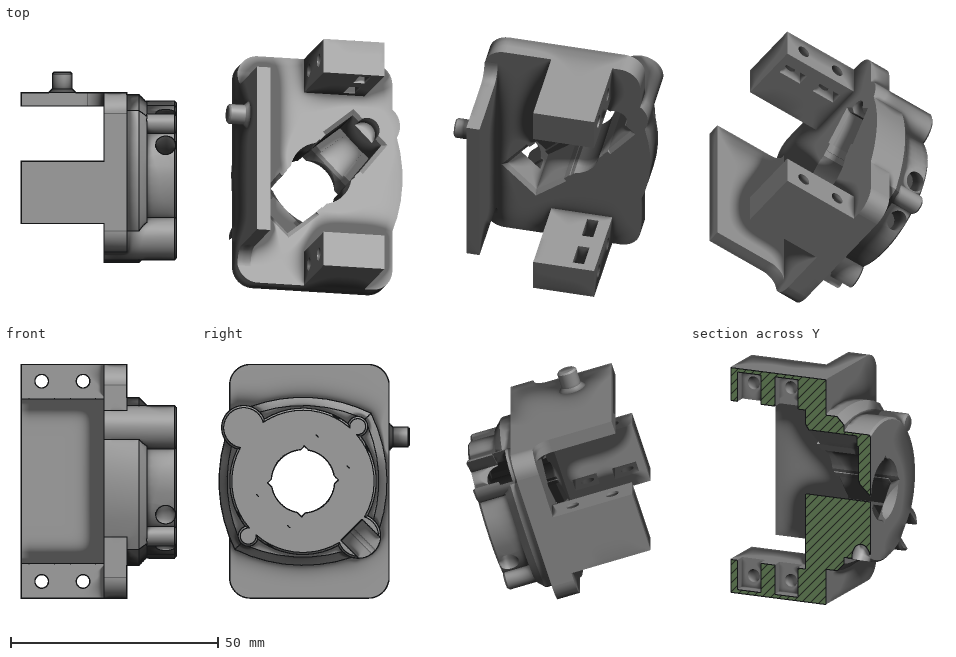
import cadquery as cq
import math

TOTAL_DEPTH = 37.5
HEIGHT = 56.5

PLATE_FRONT = 20.0
PLATE_BACK = 25.55
PLATE_Y_MIN = -17.75
PLATE_Y_MAX = 20.8
CORNER_RADIUS = 5.05

WING_THICKNESS = 3.3
WING_HALF_HEIGHT = 20.3
WING_FILLET = 3.95
PEG_X = 9.95
PEG_Z = 10.75
PEG_DIAMETER = 4.8
PEG_TIP_Y = 25.7
PEG_BASE_DIAMETER = 6.6
PEG_BASE_HEIGHT = 0.9
PEG_CHAMFER = 0.4

LUG_Y_MIN = -10.85
LUG_Y_MAX = 4.25
LUG_HEIGHT = 8.35
SCREW_DIAMETER = 3.2
SCREW_XS = (5.0, 15.0)
SCREW_Z = 24.2
NUT_WIDTH = 6.1
NUT_THICKNESS = 2.8
NUT_Y = -6.5
NUT_DEPTH = 7.35

FLANGE_HALF_WIDTH = 20.3
FLANGE_CORNER = 16.45
FLANGE_BACK = 28.5
FLANGE_CHAMFER = 2.0

HUB_RADIUS = 17.7
REAR_CHAMFER = 0.5
BOSS_RADIUS = 5.35
UPPER_BOSS_YZ = (-14.3, 12.95)
LOWER_BOSS_YZ = (13.4, -13.2)
POST_RADIUS = 2.45
POST_OFFSET = 13.2
CORD_DIAMETER = 4.8
CORD_X = 34.9
CORD_U = 5.3
CORD_END_V = 10.15

BORE_RADIUS = 7.6
FLOOR_X = 34.6
RIM_DEPTH = 0.9
RIM_END = 17.4
RIM_END_HALF_WIDTH = 6.0
RIM_WAIST_HALF_WIDTH = 7.0
WINDOW_WAIST = 7.7
WINDOW_END = 16.5
WINDOW_END_HALF_WIDTH = 5.05
WINDOW_WAIST_HALF_WIDTH = 6.05
LEDGE_X = 33.8
LEDGE_END = 8.9
RELIEF_DEPTH = 4.5
CHANNEL_HALF_WIDTH = 3.95
UPPER_CHANNEL_DEPTH = 0.3
SLOT_END_HALF_LENGTH = 5.75
SLOT_HALF_WIDTH = 6.25

CABLE_RADIUS = 3.35
CABLE_X = 30.85
CABLE_SLOT_X = 27.6
CABLE_SLOT_WIDTH = 8.5
CABLE_REACH = 28.25
CABLE_OPEN_U = 16.65
CABLE_TROUGH_WIDTH = 7.25
RELIEF_RADIUS = 2.95
RELIEF_U = 16.45

DIAGONAL = (0, -1, 1)


def across(x):
    """Work plane at depth x: local axes are Y and Z."""
    return cq.Workplane("YZ", origin=(x, 0, 0))


def diagonal(x):
    """Work plane at depth x: local X runs along the window, toward -Y and +Z."""
    return cq.Workplane(cq.Plane(origin=(x, 0, 0), xDir=DIAGONAL, normal=(1, 0, 0)))


def block(x_range, y_range, z_range):
    size = [high - low for low, high in (x_range, y_range, z_range)]
    corner = (x_range[0], y_range[0], z_range[0])
    return cq.Workplane("XY").box(*size, centered=False).translate(corner)


def rear_cylinder(start_x, center, radius):
    """Cylinder along X that ends in the chamfered rear face."""
    cylinder = across(start_x).center(*center).circle(radius).extrude(TOTAL_DEPTH - start_x)
    return cylinder.faces(">X").chamfer(REAR_CHAMFER)


def plate():
    body = block((PLATE_FRONT, PLATE_BACK), (PLATE_Y_MIN, PLATE_Y_MAX), (-HEIGHT / 2, HEIGHT / 2))
    return body.edges("|X").fillet(CORNER_RADIUS)


def wing():
    root = WING_HALF_HEIGHT + WING_FILLET
    bend = WING_FILLET * (1 - math.sqrt(0.5))
    arc_start = PLATE_FRONT - WING_FILLET
    outline = (
        cq.Workplane("XZ", origin=(0, PLATE_Y_MAX, 0))
        .moveTo(0, -WING_HALF_HEIGHT)
        .lineTo(arc_start, -WING_HALF_HEIGHT)
        .threePointArc((PLATE_FRONT - bend, -WING_HALF_HEIGHT - bend), (PLATE_FRONT, -root))
        .lineTo(PLATE_FRONT, root)
        .threePointArc((PLATE_FRONT - bend, WING_HALF_HEIGHT + bend), (arc_start, WING_HALF_HEIGHT))
        .lineTo(0, WING_HALF_HEIGHT)
        .close()
    )
    return outline.extrude(WING_THICKNESS)


def peg():
    tip_radius = PEG_DIAMETER / 2 - PEG_CHAMFER
    profile = [
        (0, PLATE_Y_MAX),
        (PEG_BASE_DIAMETER / 2, PLATE_Y_MAX),
        (PEG_DIAMETER / 2, PLATE_Y_MAX + PEG_BASE_HEIGHT),
        (PEG_DIAMETER / 2, PEG_TIP_Y - PEG_CHAMFER),
        (tip_radius, PEG_TIP_Y),
        (0, PEG_TIP_Y),
    ]
    turned = cq.Workplane("XY").polyline(profile).close().revolve(360, (0, 0), (0, 1))
    return turned.translate((PEG_X, 0, PEG_Z))


def lower_lug():
    inner_z = -HEIGHT / 2 + LUG_HEIGHT
    lug = block((0, PLATE_BACK), (LUG_Y_MIN, LUG_Y_MAX), (-HEIGHT / 2, inner_z))
    for x in SCREW_XS:
        screw = cq.Workplane("XZ", origin=(x, LUG_Y_MAX, -SCREW_Z)).circle(SCREW_DIAMETER / 2)
        lug = lug.cut(screw.extrude(LUG_Y_MAX - LUG_Y_MIN))
        nut = cq.Workplane("XY", origin=(x, NUT_Y, inner_z)).rect(NUT_WIDTH, NUT_THICKNESS)
        lug = lug.cut(nut.extrude(-NUT_DEPTH))
    return lug


def flange():
    w = FLANGE_HALF_WIDTH
    c = FLANGE_CORNER
    outline = (
        across(PLATE_FRONT)
        .moveTo(c, -c)
        .threePointArc((w, 0), (c, c))
        .threePointArc((0, w), (-c, c))
        .threePointArc((-w, 0), (-c, -c))
        .threePointArc((0, -w), (c, -c))
        .close()
    )
    body = outline.extrude(FLANGE_BACK + FLANGE_CHAMFER - PLATE_FRONT)
    return body.faces(">X").chamfer(FLANGE_CHAMFER)


def hub():
    body = rear_cylinder(PLATE_BACK, (0, 0), HUB_RADIUS)
    for side in (1, -1):
        body = body.union(rear_cylinder(PLATE_BACK, (side * POST_OFFSET, side * POST_OFFSET), POST_RADIUS))
    body = body.union(rear_cylinder(PLATE_FRONT, UPPER_BOSS_YZ, BOSS_RADIUS))
    return body.union(rear_cylinder(PLATE_BACK, LOWER_BOSS_YZ, BOSS_RADIUS))


def cord_hole(u, side):
    """Blind hole beside a post, running straight in across the window direction."""
    plane = cq.Plane(origin=(CORD_X, 0, 0), xDir=DIAGONAL, normal=(0, side, side))
    hole = cq.Workplane(plane).workplane(offset=CORD_END_V).center(u, 0).circle(CORD_DIAMETER / 2)
    return hole.extrude(HUB_RADIUS - CORD_END_V)


def rim_pocket(side):
    """Bevelled pocket round one end of the window."""
    front = [
        (side * WINDOW_WAIST, RIM_WAIST_HALF_WIDTH),
        (side * RIM_END, RIM_END_HALF_WIDTH),
        (side * RIM_END, -RIM_END_HALF_WIDTH),
        (side * WINDOW_WAIST, -RIM_WAIST_HALF_WIDTH),
    ]
    back = [
        (side * WINDOW_WAIST, WINDOW_WAIST_HALF_WIDTH),
        (side * WINDOW_END, WINDOW_END_HALF_WIDTH),
        (side * WINDOW_END, -WINDOW_END_HALF_WIDTH),
        (side * WINDOW_WAIST, -WINDOW_WAIST_HALF_WIDTH),
    ]
    front_wire = diagonal(PLATE_FRONT).polyline(front).close().val()
    back_wire = diagonal(PLATE_FRONT + RIM_DEPTH).polyline(back).close().val()
    return cq.Workplane(cq.Solid.makeLoft([front_wire, back_wire], True))


def pocket():
    """Long window through the plate, widest at the two waist lines and narrower at both ends."""
    half = [
        (-WINDOW_END, WINDOW_END_HALF_WIDTH),
        (-WINDOW_WAIST, WINDOW_WAIST_HALF_WIDTH),
        (WINDOW_WAIST, WINDOW_WAIST_HALF_WIDTH),
        (WINDOW_END, WINDOW_END_HALF_WIDTH),
    ]
    other_half = [(u, -v) for u, v in reversed(half)]
    outline = diagonal(PLATE_FRONT).polyline(half + other_half).close()
    return outline.extrude(LEDGE_X - PLATE_FRONT)


def channel():
    """Channel between the ledges: full depth at the lower end, shallow and tapered at the upper end."""
    lower = [
        (-WINDOW_END, CHANNEL_HALF_WIDTH),
        (0, CHANNEL_HALF_WIDTH),
        (0, -CHANNEL_HALF_WIDTH),
        (-WINDOW_END, -CHANNEL_HALF_WIDTH),
    ]
    upper = [
        (0, CHANNEL_HALF_WIDTH),
        (LEDGE_END, CHANNEL_HALF_WIDTH),
        (WINDOW_END, RELIEF_RADIUS),
        (WINDOW_END, -RELIEF_RADIUS),
        (LEDGE_END, -CHANNEL_HALF_WIDTH),
        (0, -CHANNEL_HALF_WIDTH),
    ]
    deep = diagonal(LEDGE_X).polyline(lower).close().extrude(FLOOR_X - LEDGE_X)
    shallow = diagonal(LEDGE_X).polyline(upper).close().extrude(UPPER_CHANNEL_DEPTH)
    return deep.union(shallow)


def relief():
    """Round relief at the upper end of the window, blind in the plate."""
    circle = diagonal(PLATE_FRONT).center(RELIEF_U, 0).circle(RELIEF_RADIUS)
    return circle.extrude(RELIEF_DEPTH)


def center_opening():
    """Bore through the whole part, with a cross slot that narrows from the ledges to the rear."""
    bore = across(PLATE_FRONT).circle(BORE_RADIUS).extrude(TOTAL_DEPTH - PLATE_FRONT)
    ramp = (
        diagonal(LEDGE_X)
        .rect(2 * LEDGE_END, 2 * WINDOW_WAIST_HALF_WIDTH)
        .workplane(offset=FLOOR_X - LEDGE_X)
        .rect(2 * WINDOW_WAIST, 2 * WINDOW_WAIST_HALF_WIDTH)
        .loft(ruled=True)
    )
    slot = (
        diagonal(FLOOR_X)
        .rect(2 * WINDOW_WAIST, 2 * SLOT_HALF_WIDTH)
        .workplane(offset=TOTAL_DEPTH - FLOOR_X)
        .rect(2 * SLOT_END_HALF_LENGTH, 2 * SLOT_HALF_WIDTH)
        .loft(ruled=True)
    )
    mouth = diagonal(PLATE_FRONT).rect(2 * SLOT_END_HALF_LENGTH, 2 * SLOT_HALF_WIDTH)
    return bore.union(mouth.extrude(FLOOR_X - PLATE_FRONT)).union(ramp).union(slot)


def cable_exit():
    """Arched passage out of the lower window end, open to the rear outside the hub wall."""
    arch_plane = cq.Plane(origin=(CABLE_X, 0, 0), xDir=(1, 0, 0), normal=(0, 1, -1))
    start = cq.Workplane(arch_plane).workplane(offset=WINDOW_WAIST)
    arch = start.circle(CABLE_RADIUS).extrude(CABLE_REACH)
    slot = start.center((CABLE_SLOT_X - CABLE_X) / 2, 0).rect(CABLE_X - CABLE_SLOT_X, CABLE_SLOT_WIDTH)
    open_length = WINDOW_WAIST + CABLE_REACH - CABLE_OPEN_U
    open_center = -CABLE_OPEN_U - open_length / 2
    trough = diagonal(CABLE_X).center(open_center, 0).rect(open_length, CABLE_TROUGH_WIDTH)
    return arch.union(slot.extrude(CABLE_REACH)).union(trough.extrude(TOTAL_DEPTH - CABLE_X))


lug = lower_lug()
cutters = [
    rim_pocket(1),
    rim_pocket(-1),
    pocket(),
    channel(),
    relief(),
    center_opening(),
    cable_exit(),
]
cutters += [cord_hole(u, side) for u in (CORD_U, -CORD_U) for side in (1, -1)]

result = plate().union(wing()).union(peg()).union(lug).union(lug.mirror("XY"))
result = result.union(flange()).union(hub())
for cutter in cutters:
    result = result.cut(cutter)